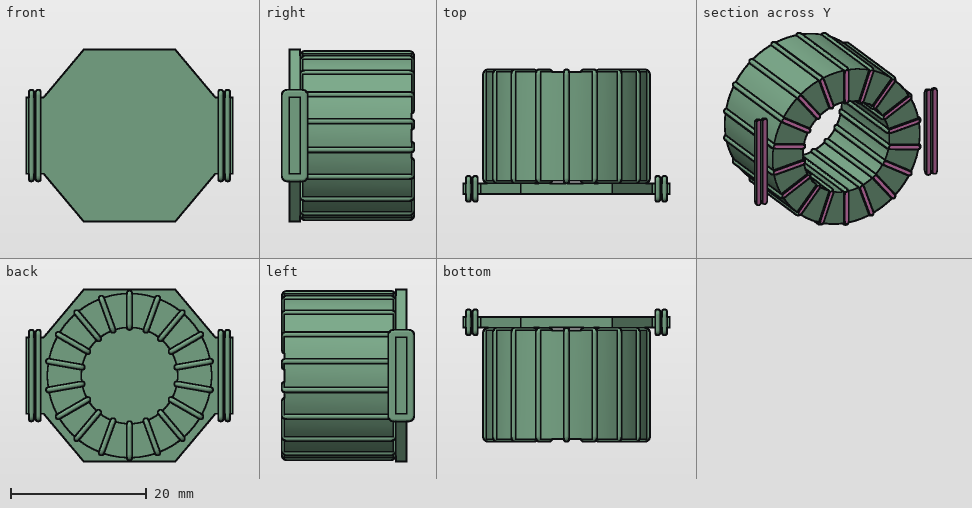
import cadquery as cq


core_radius = 12.1
bore_radius = 7.1
core_length = 16.05
wire_radius = 0.4
turn_count = 18
first_turn_angle = 90
core_start = wire_radius

plate_thickness = 1.6
plate_height = 25.4
plate_top_half_width = 6.75
plate_side_half_width = 12.65
overall_length = 30.5
tab_height = 11.3

wrap_clearance = 0.73
wrap_outer_offset = 0.8
wrap_pitch = 1.0


def rounded_turn(width, height):
    """One wire turn in the XY plane: a flat web whose rim is a half-round wire.

    The width and height are measured to the wire's centre line, and the turn is centred on the origin.
    """
    web = (
        cq.Workplane("XY")
        .rect(width, height)
        .extrude(wire_radius, both=True)
        .edges("|Z")
        .fillet(wire_radius)
    )
    center_line = web.section().wires().val()
    rim_start = (width / 2, 0, 0)
    half_round = (
        cq.Workplane("XZ", origin=rim_start)
        .moveTo(0, -wire_radius)
        .threePointArc((wire_radius, 0), (0, wire_radius))
        .close()
    )
    rim = half_round.sweep(cq.Workplane(center_line))
    return web.union(rim)


def make_wound_core():
    ring = (
        cq.Workplane("XZ", origin=(0, core_start, 0))
        .circle(core_radius)
        .circle(bore_radius)
        .extrude(-core_length)
    )
    turn = rounded_turn(core_radius - bore_radius, core_length).translate(
        ((core_radius + bore_radius) / 2, core_start + core_length / 2, 0)
    )
    turn_step = 360 / turn_count
    for index in range(turn_count):
        angle = first_turn_angle + index * turn_step
        ring = ring.union(turn.rotate((0, 0, 0), (0, 1, 0), angle))
    return ring


def make_mounting_plate():
    octagon = (
        cq.Workplane("XZ")
        .polyline([
            (plate_top_half_width, plate_height / 2),
            (plate_side_half_width, tab_height / 2),
            (plate_side_half_width, -tab_height / 2),
            (plate_top_half_width, -plate_height / 2),
            (-plate_top_half_width, -plate_height / 2),
            (-plate_side_half_width, -tab_height / 2),
            (-plate_side_half_width, tab_height / 2),
            (-plate_top_half_width, plate_height / 2),
        ])
        .close()
        .extrude(plate_thickness)
    )
    tabs = cq.Workplane("XZ").rect(overall_length, tab_height).extrude(plate_thickness)
    plate = octagon.union(tabs)

    wrap = rounded_turn(
        tab_height + 2 * wrap_clearance, plate_thickness + 2 * wrap_clearance
    ).rotate((0, 0, 0), (0, 1, 0), 90)
    outer_wrap_x = overall_length / 2 - wrap_outer_offset
    for side in (-1, 1):
        for wrap_x in (outer_wrap_x, outer_wrap_x - wrap_pitch):
            plate = plate.union(wrap.translate((side * wrap_x, -plate_thickness / 2, 0)))
    return plate


wound_core = make_wound_core()
mounting_plate = make_mounting_plate()

result = cq.Compound.makeCompound([wound_core.val(), mounting_plate.val()])